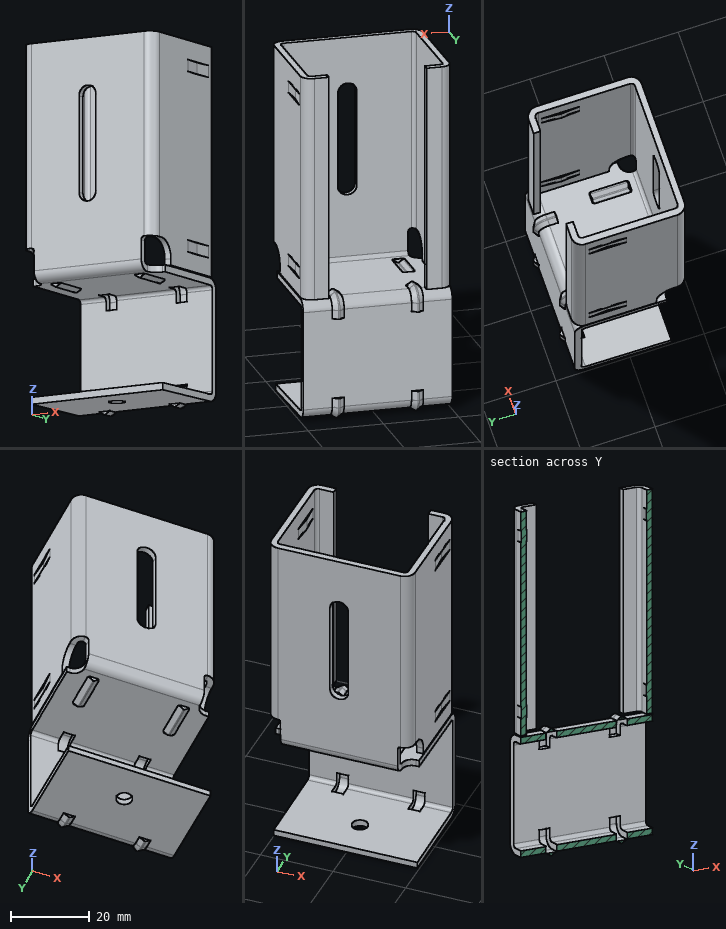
import cadquery as cq
import math

WIDTH = 39.6
DEPTH = 30.6
HEIGHT = 93.2
SHEET = 1.9
BEND_INNER = 1.0
BEND_OUTER = BEND_INNER + SHEET
HALF_WIDTH = WIDTH / 2
FRONT_Y = -DEPTH

FLOOR_BOTTOM = 31.2
FLOOR_TOP = FLOOR_BOTTOM + SHEET
WALL_GAP = 0.3
WALL_BOTTOM = FLOOR_TOP + WALL_GAP
LIP_REACH = 6.8
FLANGE_REACH = 26.1
FLANGE_DROP = 1.5

RIDGE_WIDTH = 3.2
RIDGE_HEIGHT = 0.9
RIDGE_SLOPE = 32.0

RIB_LEG = 2.4
RIB_OFFSET = 10.5

drop = math.radians(FLANGE_DROP)
upper_bend = (-BEND_OUTER, FLOOR_TOP - BEND_OUTER)
lower_bend = (-BEND_OUTER, (BEND_OUTER + RIDGE_HEIGHT) * math.cos(drop) + RIB_LEG * math.sin(drop))
front_bend = (FRONT_Y + BEND_OUTER, FLOOR_BOTTOM + BEND_OUTER)
UPPER_SWEEP = 90.0
LOWER_SWEEP = FLANGE_DROP - 90.0

rib_places = [
    (centre, sweep, x)
    for centre, sweep in ((upper_bend, UPPER_SWEEP), (lower_bend, LOWER_SWEEP))
    for x in (-RIB_OFFSET, RIB_OFFSET)
]

RELIEF_HALF_GAP = 16.1
RELIEF_TOP = 40.0
RELIEF_DEPTH = 8.5
RELIEF_SIDE_RADIUS = 4.8
RELIEF_FRONT_RADIUS = 0.9
NOTCH_DEPTH = 5.6
NOTCH_RADIUS = 2.8

SLOT_LENGTH = 30.1
SLOT_WIDTH = 5.0
SLOT_CENTRE_Z = 65.7
HOLE_DIAMETER = 4.2
HOLE_SETBACK = 9.9

DIMPLE_LENGTH = 10.4
DIMPLE_CORNER = 0.65
DIMPLE_TAPER = 20.0
RIM_WIDTH = 3.4
RIM_LENGTH = 10.6
RIM_DEPTH = 0.2
RIM_TAPER = 65.0
DIMPLE_X = 12.6
DIMPLE_Y = FRONT_Y + 10.0
DENT_LENGTH = 10.1
DENT_HEIGHT = 3.1
DENT_DEPTH = 0.4
DENT_Y = -8.9
DENT_INSET = 6.6


def on_arc(centre, radius, degrees):
    """Point at an angle on a circle in the YZ plane."""
    angle = math.radians(degrees)
    return (centre[0] + radius * math.cos(angle), centre[1] + radius * math.sin(angle))


def shifted(point, direction, distance):
    return (point[0] + direction[0] * distance, point[1] + direction[1] * distance)


def arc_to(outline, centre, radius, start, end):
    """Continue an outline along an arc, between two angles in degrees."""
    return outline.threePointArc(
        on_arc(centre, radius, (start + end) / 2), on_arc(centre, radius, end)
    )


def rib_path_points(centre, sweep, radius):
    """Leg end, arc start, arc end and leg end of a path round a bend that starts at angle 0."""
    turn = math.copysign(1, sweep)
    start = on_arc(centre, radius, 0)
    end = on_arc(centre, radius, sweep)
    end_angle = math.radians(sweep + turn * 90)
    end_direction = (math.cos(end_angle), math.sin(end_angle))
    foot = shifted(start, (0, -turn), RIB_LEG)
    tip = shifted(end, end_direction, RIB_LEG)
    return foot, start, end, tip


def ridge_section(base, side):
    """V with a rounded crest, standing on its base line toward side = +1 or -1."""
    slope = math.radians(RIDGE_SLOPE)
    half_width = RIDGE_WIDTH / 2
    sharp_height = half_width * math.tan(slope)
    crest_radius = (sharp_height - RIDGE_HEIGHT) / (1 / math.cos(slope) - 1)
    shoulder_x = crest_radius * math.sin(slope)
    shoulder_height = (half_width - shoulder_x) * math.tan(slope)
    return (
        base.moveTo(-half_width, 0)
        .lineTo(-shoulder_x, side * shoulder_height)
        .threePointArc((0, side * RIDGE_HEIGHT), (shoulder_x, side * shoulder_height))
        .lineTo(half_width, 0)
        .close()
    )


def mirrored_pair(body):
    return body.union(body.mirror("YZ"))


def centred_on_x(outline, width):
    """Extrude a YZ outline symmetrically about x = 0."""
    return outline.close().extrude(width / 2, both=True)


def make_rounded_column(width, depth, corner_radius):
    """Upright block in the middle of the channel, from its bottom edge to its top edge."""
    return (
        cq.Workplane("XY", origin=(0, -DEPTH / 2, WALL_BOTTOM))
        .rect(width, depth)
        .extrude(HEIGHT - WALL_BOTTOM)
        .edges("|Z")
        .fillet(corner_radius)
    )


def make_channel():
    """Front wall, side walls and rear lips, bent round vertical corners."""
    outer = make_rounded_column(WIDTH, DEPTH, BEND_OUTER)
    inner = make_rounded_column(WIDTH - 2 * SHEET, DEPTH - 2 * SHEET, BEND_INNER)
    mouth = cq.Workplane("XY", origin=(0, 0, WALL_BOTTOM)).box(
        WIDTH - 2 * LIP_REACH, 2 * BEND_OUTER, HEIGHT, centered=(True, True, False)
    )
    bend_room = cq.Workplane("XY", origin=(0, FRONT_Y, 0)).box(
        WIDTH, 2 * BEND_OUTER, front_bend[1], centered=(True, True, False)
    )
    return outer.cut(inner).cut(mouth).cut(bend_room)


def make_corner_relief():
    """Block that opens one front bottom corner of the channel, rounded in both directions."""
    block = cq.Workplane("XY", origin=(RELIEF_HALF_GAP, FRONT_Y, 0)).box(
        HALF_WIDTH, RELIEF_DEPTH, RELIEF_TOP, centered=False
    )
    side_block = block.edges(">Y and >Z").fillet(RELIEF_SIDE_RADIUS)
    front_block = block.edges("<X and >Z").fillet(RELIEF_FRONT_RADIUS)
    return side_block.intersect(front_block)


def make_strip():
    """Floor, rear plate and sloping flange, starting from the foot of the front wall."""
    flange_tangent = on_arc(lower_bend, BEND_OUTER, LOWER_SWEEP)
    flange_direction = (-math.cos(drop), -math.sin(drop))
    flange_length = (flange_tangent[0] + FLANGE_REACH) / math.cos(drop)
    tip_outer = shifted(flange_tangent, flange_direction, flange_length)
    tip_inner = shifted(
        on_arc(lower_bend, BEND_INNER, LOWER_SWEEP), flange_direction, flange_length
    )
    outline = cq.Workplane("YZ").moveTo(*on_arc(front_bend, BEND_INNER, 180))
    outline = arc_to(outline, front_bend, BEND_INNER, 180, 270)
    outline = outline.lineTo(*on_arc(upper_bend, BEND_OUTER, UPPER_SWEEP))
    outline = arc_to(outline, upper_bend, BEND_OUTER, UPPER_SWEEP, 0)
    outline = outline.lineTo(*on_arc(lower_bend, BEND_OUTER, 0))
    outline = arc_to(outline, lower_bend, BEND_OUTER, 0, LOWER_SWEEP)
    outline = outline.lineTo(*tip_outer).lineTo(*tip_inner)
    outline = outline.lineTo(*on_arc(lower_bend, BEND_INNER, LOWER_SWEEP))
    outline = arc_to(outline, lower_bend, BEND_INNER, LOWER_SWEEP, 0)
    outline = outline.lineTo(*on_arc(upper_bend, BEND_INNER, 0))
    outline = arc_to(outline, upper_bend, BEND_INNER, 0, UPPER_SWEEP)
    outline = outline.lineTo(*on_arc(front_bend, BEND_OUTER, 270))
    outline = arc_to(outline, front_bend, BEND_OUTER, 270, 180)
    return centred_on_x(outline, WIDTH)


def make_floor_notch():
    """Corner cut out of the floor and its front bend, with a rounded inner corner."""
    return (
        cq.Workplane("XY", origin=(RELIEF_HALF_GAP, FRONT_Y, FLOOR_BOTTOM))
        .box(HALF_WIDTH, NOTCH_DEPTH, BEND_OUTER, centered=False)
        .edges("<X and >Y")
        .fillet(NOTCH_RADIUS)
    )


def make_front_slot():
    return (
        cq.Workplane("XZ", origin=(0, FRONT_Y + BEND_OUTER, SLOT_CENTRE_Z))
        .slot2D(SLOT_LENGTH, SLOT_WIDTH, 90)
        .extrude(2 * BEND_OUTER)
    )


def make_flange_hole():
    return (
        cq.Workplane("XY", origin=(0, HOLE_SETBACK - FLANGE_REACH, 0))
        .circle(HOLE_DIAMETER / 2)
        .extrude(lower_bend[1] + BEND_OUTER)
    )


def make_tapered_pad(top_z, width, length, depth, taper):
    """Rounded rectangle at the dimple's place that narrows downward from top_z."""
    return (
        cq.Workplane("XY", origin=(DIMPLE_X, DIMPLE_Y, top_z))
        .sketch()
        .rect(width, length)
        .vertices()
        .fillet(DIMPLE_CORNER)
        .finalize()
        .extrude(-depth, taper=taper)
    )


def make_floor_wedge(top_z):
    """V-shaped ridge hanging below top_z, with rounded corners and tapered ends."""
    base = cq.Workplane("XZ", origin=(DIMPLE_X, DIMPLE_Y, top_z))
    ridge = ridge_section(base, -1).extrude(DIMPLE_LENGTH / 2, both=True)
    plan = make_tapered_pad(top_z, RIDGE_WIDTH, DIMPLE_LENGTH, RIDGE_HEIGHT, DIMPLE_TAPER)
    return ridge.intersect(plan)


def make_floor_groove():
    """Groove pressed into the floor's top over a ridge, with a shallow flared rim."""
    rim = make_tapered_pad(FLOOR_TOP, RIM_WIDTH, RIM_LENGTH, RIM_DEPTH, RIM_TAPER)
    return make_floor_wedge(FLOOR_TOP).union(rim)


def make_wall_wedge(outer_x, centre_z):
    """Shallow V pointing inward from the plane x = outer_x."""
    return (
        cq.Workplane("XY", origin=(outer_x, DENT_Y, centre_z))
        .moveTo(0, -DENT_LENGTH / 2)
        .lineTo(-DENT_DEPTH, 0)
        .lineTo(0, DENT_LENGTH / 2)
        .close()
        .extrude(DENT_HEIGHT / 2, both=True)
    )


def make_bend_slot(centre, sweep, x):
    """Block that opens the full sheet thickness round a bend, under one rib."""
    inner_radius = BEND_INNER / 2
    outer_foot, outer_start, outer_end, outer_tip = rib_path_points(centre, sweep, BEND_OUTER)
    inner_foot, inner_start, inner_end, inner_tip = rib_path_points(centre, sweep, inner_radius)
    outline = cq.Workplane("YZ").moveTo(*outer_foot).lineTo(*outer_start)
    outline = arc_to(outline, centre, BEND_OUTER, 0, sweep)
    outline = outline.lineTo(*outer_tip).lineTo(*inner_tip).lineTo(*inner_end)
    outline = arc_to(outline, centre, inner_radius, sweep, 0).lineTo(*inner_foot)
    return centred_on_x(outline, RIDGE_WIDTH).translate((x, 0, 0))


def make_bracket():
    bracket = make_channel().cut(mirrored_pair(make_corner_relief()))
    strip = make_strip().cut(mirrored_pair(make_floor_notch()))
    bracket = bracket.union(strip)
    bracket = bracket.cut(make_front_slot()).cut(make_flange_hole())
    bracket = bracket.union(mirrored_pair(make_floor_wedge(FLOOR_BOTTOM)))
    bracket = bracket.cut(mirrored_pair(make_floor_groove()))
    for z in (FLOOR_TOP + DENT_INSET, HEIGHT - DENT_INSET):
        bracket = bracket.union(mirrored_pair(make_wall_wedge(HALF_WIDTH - SHEET, z)))
        bracket = bracket.cut(mirrored_pair(make_wall_wedge(HALF_WIDTH, z)))
    for centre, sweep, x in rib_places:
        bracket = bracket.cut(make_bend_slot(centre, sweep, x))
    return bracket


def make_rib(centre, sweep, x):
    """Triangular ridge that runs round the outside of a bend and covers its slot."""
    foot, start, end, tip = rib_path_points(centre, sweep, BEND_OUTER)
    path = cq.Workplane("YZ").moveTo(*foot).lineTo(*start)
    path = arc_to(path, centre, BEND_OUTER, 0, sweep).lineTo(*tip)
    section = ridge_section(cq.Workplane("XY", origin=(0, foot[0], foot[1])), 1)
    return section.sweep(path).translate((x, 0, 0))


bracket = make_bracket()
ribs = [make_rib(*place).val() for place in rib_places]
result = cq.Compound.makeCompound([bracket.val(), *ribs])